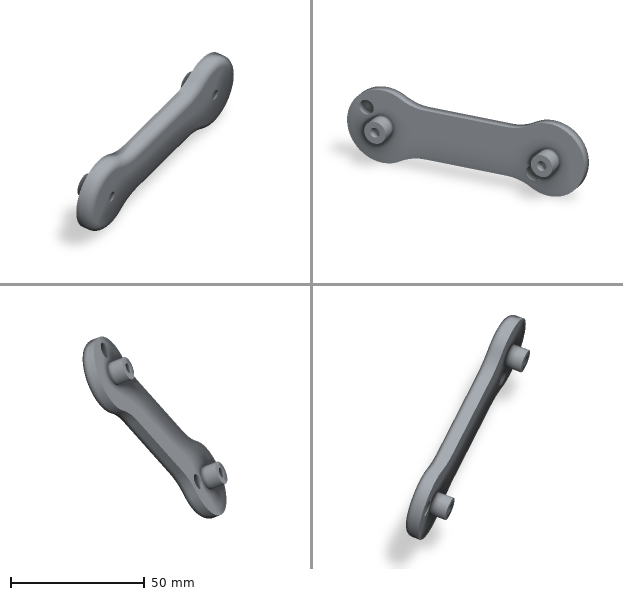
import cadquery as cq
import math

total_length = 99.6
end_diameter = 29.7
bar_width = 20.0
blend_radius = 20.0
total_depth = 12.5
plate_thickness = 6.2
edge_radius = 3.1
boss_diameter = 9.0
bore_diameter = 4.0
pocket_diameter = 6.0
pocket_depth = 3.0
pocket_offset = 6.7

end_radius = end_diameter / 2
end_y = total_length / 2 - end_radius
half_width = bar_width / 2
boss_length = total_depth - plate_thickness

blend_z = half_width + blend_radius
center_distance = end_radius + blend_radius
blend_y = end_y - math.sqrt(center_distance**2 - blend_z**2)
tangent_y = end_y - (end_y - blend_y) * end_radius / center_distance
tangent_z = blend_z * end_radius / center_distance
blend_angle = math.atan2(blend_z, end_y - blend_y)
middle_angle = (blend_angle + math.pi / 2) / 2
blend_middle_y = blend_y + blend_radius * math.cos(middle_angle)
blend_middle_z = blend_z - blend_radius * math.sin(middle_angle)


def make_plate():
    """Dog-bone plate with its back face at X = 0 and a rounded +X rim."""
    outline = (
        cq.Workplane("YZ")
        .moveTo(-blend_y, half_width)
        .lineTo(blend_y, half_width)
        .threePointArc((blend_middle_y, blend_middle_z), (tangent_y, tangent_z))
        .threePointArc((total_length / 2, 0), (tangent_y, -tangent_z))
        .threePointArc((blend_middle_y, -blend_middle_z), (blend_y, -half_width))
        .lineTo(-blend_y, -half_width)
        .threePointArc((-blend_middle_y, -blend_middle_z), (-tangent_y, -tangent_z))
        .threePointArc((-total_length / 2, 0), (-tangent_y, tangent_z))
        .threePointArc((-blend_middle_y, blend_middle_z), (-blend_y, half_width))
        .close()
    )
    return outline.extrude(plate_thickness).faces(">X").edges().fillet(edge_radius)


def rod(x, y, z, diameter, length):
    """Cylinder starting at (x, y, z) and running toward +X."""
    return cq.Workplane("YZ", origin=(x, y, z)).circle(diameter / 2).extrude(length)


result = make_plate()
for side in (-1, 1):
    boss_y = side * end_y
    result = result.union(rod(-boss_length, boss_y, 0, boss_diameter, boss_length))
    result = result.cut(rod(-boss_length, boss_y, 0, bore_diameter, total_depth))
    pocket_y = boss_y + pocket_offset
    pocket_z = side * pocket_offset
    result = result.cut(rod(0, pocket_y, pocket_z, pocket_diameter, pocket_depth))